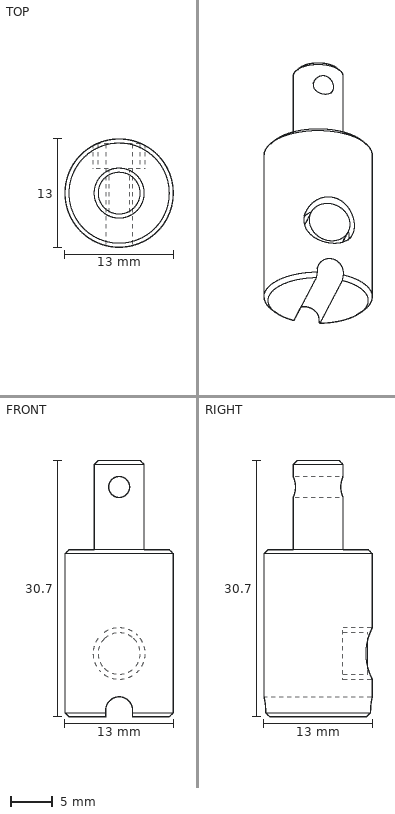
import cadquery as cq

TOTAL_HEIGHT = 30.7
BARREL_DIAMETER = 13.0
BARREL_HEIGHT = 20.02
SHANK_DIAMETER = 6.0
SHANK_HEIGHT = TOTAL_HEIGHT - BARREL_HEIGHT
EDGE_CHAMFER = 0.5

CROSS_HOLE_DIAMETER = 2.5
CROSS_HOLE_DROP = 3.2
CROSS_HOLE_Z = TOTAL_HEIGHT - CROSS_HOLE_DROP

SLOT_WIDTH = 3.2
SLOT_HEIGHT = 2.4
SLOT_CENTRE_Z = SLOT_HEIGHT - SLOT_WIDTH / 2

PLUG_HOLE_DIAMETER = 6.2
PLUG_DIAMETER = 5.0
PLUG_LENGTH = 3.0
PLUG_Z = 7.58
PLUG_FACE_Y = 5.93
PLUG_BACK_Y = PLUG_FACE_Y - PLUG_LENGTH


def cylinder_along_y(diameter, z, start_y, end_y):
    """Cylinder on the X = 0 plane at height z, from start_y to end_y."""
    axis = cq.Vector(0, 1, 0)
    start = cq.Vector(0, start_y, z)
    return cq.Workplane(obj=cq.Solid.makeCylinder(diameter / 2, end_y - start_y, start, axis))


def chamfered_barrel():
    barrel = cq.Workplane("XY").circle(BARREL_DIAMETER / 2).extrude(BARREL_HEIGHT)
    return barrel.faces("<Z or >Z").chamfer(EDGE_CHAMFER)


def chamfered_shank():
    shank = cq.Workplane("XY", origin=(0, 0, BARREL_HEIGHT)).circle(SHANK_DIAMETER / 2).extrude(SHANK_HEIGHT)
    return shank.faces(">Z").chamfer(EDGE_CHAMFER)


def bottom_slot():
    half_length = BARREL_DIAMETER / 2
    round_top = cylinder_along_y(SLOT_WIDTH, SLOT_CENTRE_Z, -half_length, half_length)
    straight_sides = cq.Workplane("XY").rect(SLOT_WIDTH, BARREL_DIAMETER).extrude(SLOT_CENTRE_Z)
    return round_top.union(straight_sides)


def make_housing():
    cross_hole = cylinder_along_y(
        CROSS_HOLE_DIAMETER, CROSS_HOLE_Z, -SHANK_DIAMETER / 2, SHANK_DIAMETER / 2
    )
    plug_hole = cylinder_along_y(PLUG_HOLE_DIAMETER, PLUG_Z, PLUG_BACK_Y, BARREL_DIAMETER / 2)
    housing = chamfered_barrel().union(chamfered_shank())
    return housing.cut(cross_hole).cut(bottom_slot()).cut(plug_hole)


def make_plug():
    return cylinder_along_y(PLUG_DIAMETER, PLUG_Z, PLUG_BACK_Y, PLUG_FACE_Y)


housing = make_housing()
plug = make_plug()

result = cq.Compound.makeCompound([*housing.solids().vals(), plug.val()])